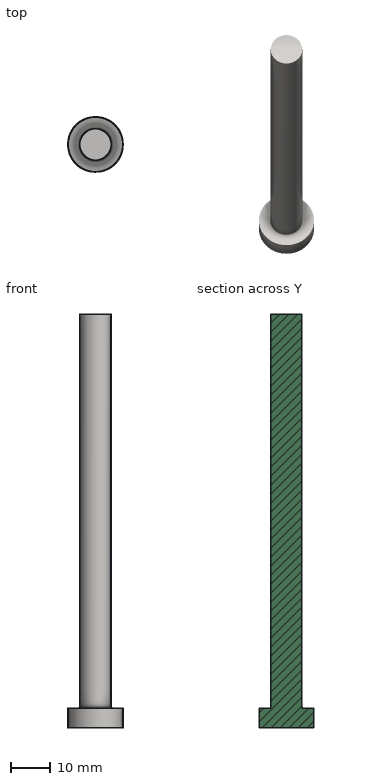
import cadquery as cq

total_length = 105.0
head_diameter = 14.0
head_height = 5.0
shank_diameter = 8.0
neck_fillet_radius = 0.3


def make_head():
    """Flat disc head with its underside on Z = 0."""
    return cq.Workplane("XY").circle(head_diameter / 2).extrude(head_height)


def add_shank(head):
    """Round shank rising from the head to the full length."""
    shank_length = total_length - head_height
    return head.faces(">Z").workplane().circle(shank_diameter / 2).extrude(shank_length)


def fillet_neck(pin):
    """Small concave fillet where the shank meets the head."""
    neck_edge = cq.selectors.RadiusNthSelector(0)
    head_top = pin.faces(cq.selectors.NearestToPointSelector((0, 0, head_height)))
    return head_top.edges(neck_edge).fillet(neck_fillet_radius)


result = fillet_neck(add_shank(make_head()))